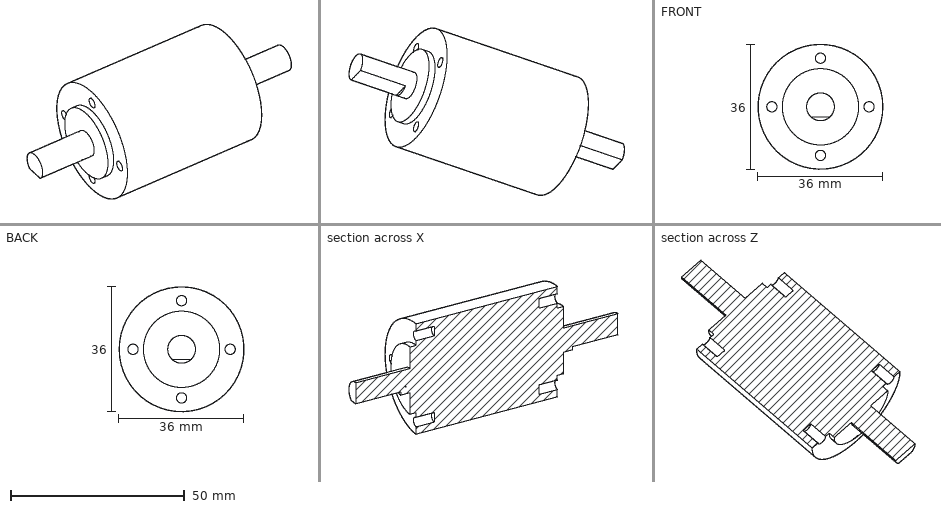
import cadquery as cq

body_diameter = 36.0
body_length = 47.0

pilot_diameter = 22.0
pilot_height = 2.0

shaft_diameter = 8.0
shaft_length = 87.0
flat_length = 15.0
flat_depth = 1.05

hole_diameter = 3.0
hole_circle_diameter = 28.0
hole_depth = 6.0
hole_count = 4


def cylinder_along_y(diameter, length):
    """Cylinder on the Y axis, centred on the origin."""
    return cq.Workplane("XZ", origin=(0, length / 2, 0)).circle(diameter / 2).extrude(length)


def shaft_flat(end):
    """Block that cuts the flat on the -Z side of one shaft end; end is -1 or 1."""
    center_y = end * (shaft_length - flat_length) / 2
    center_z = (flat_depth - shaft_diameter) / 2
    return (
        cq.Workplane("XY")
        .box(shaft_diameter, flat_length, flat_depth)
        .translate((0, center_y, center_z))
    )


def mounting_holes(end):
    """Ring of holes sunk into one end face of the body; end is -1 or 1."""
    inward_depth = end * hole_depth
    return (
        cq.Workplane("XZ", origin=(0, end * body_length / 2, 0))
        .polarArray(hole_circle_diameter / 2, 0, 360, hole_count)
        .circle(hole_diameter / 2)
        .extrude(inward_depth)
    )


body = cylinder_along_y(body_diameter, body_length)
pilots = cylinder_along_y(pilot_diameter, body_length + 2 * pilot_height)
shaft = cylinder_along_y(shaft_diameter, shaft_length)

for end in (-1, 1):
    body = body.cut(mounting_holes(end))
    shaft = shaft.cut(shaft_flat(end))

result = body.union(pilots).union(shaft)